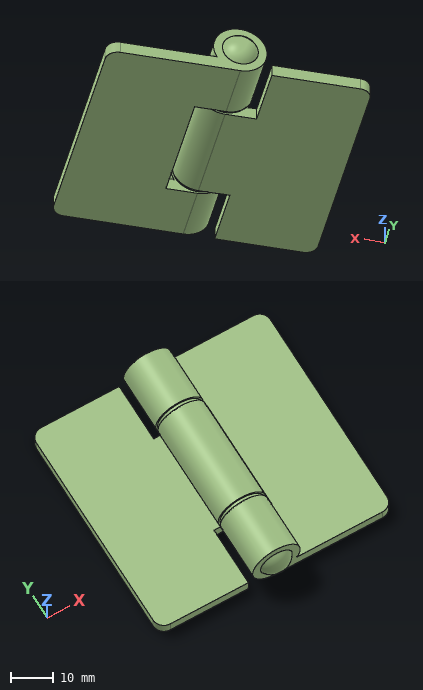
import cadquery as cq
import math

total_length = 65.0
hinge_width = 64.0
leaf_length = 60.0
leaf_thickness = 3.25
corner_radius = 3.0

knuckle_radius = 6.5
washer_radius = 6.0
washer_thickness = 1.0
middle_knuckle_length = 28.0
slot_edge_distance = 7.6

dome_radius = 5.0
dome_height = (total_length - leaf_length) / 2
pin_radius = math.sqrt(dome_radius**2 - (dome_radius - dome_height)**2)

half_width = hinge_width / 2
half_leaf = leaf_length / 2
half_middle = middle_knuckle_length / 2
washer_outer_y = half_middle + washer_thickness
end_knuckle_length = half_leaf - washer_outer_y


def cylinder_along_pin(radius, start_y, length):
    return cq.Workplane("XZ", origin=(0, start_y, 0)).circle(radius).extrude(-length)


def make_plate():
    """Flat plate of the +X leaf, its inner edge under the pin axis."""
    return (
        cq.Workplane("XY", origin=(0, 0, -knuckle_radius))
        .rect(half_width, leaf_length)
        .extrude(leaf_thickness)
        .translate((half_width / 2, 0, 0))
        .edges("|Z and >X")
        .fillet(corner_radius)
    )


def cut_slot(leaf, start_y, length):
    """Clear the plate beside a knuckle of the other leaf."""
    slot = (
        cq.Workplane("XY", origin=(0, start_y, -knuckle_radius))
        .rect(slot_edge_distance, length, centered=False)
        .extrude(leaf_thickness)
    )
    return leaf.cut(slot)


def bore_for_pin(body):
    return body.cut(cylinder_along_pin(pin_radius, -half_leaf, leaf_length))


def make_end_knuckle_leaf():
    """+X leaf, with one knuckle at each end."""
    leaf = cut_slot(make_plate(), -washer_outer_y, 2 * washer_outer_y)
    for start_y in (-half_leaf, washer_outer_y):
        leaf = leaf.union(cylinder_along_pin(knuckle_radius, start_y, end_knuckle_length))
    return bore_for_pin(leaf)


def make_middle_knuckle_leaf():
    """-X leaf, with one knuckle in the middle."""
    slot_length = half_leaf - half_middle
    leaf = make_plate()
    for start_y in (-half_leaf, half_middle):
        leaf = cut_slot(leaf, start_y, slot_length)
    leaf = leaf.mirror("YZ")
    leaf = leaf.union(cylinder_along_pin(knuckle_radius, -half_middle, middle_knuckle_length))
    return bore_for_pin(leaf)


def make_washer(start_y):
    return bore_for_pin(cylinder_along_pin(washer_radius, start_y, washer_thickness))


def make_pin():
    """Half profile with domed ends, revolved about the Y axis."""
    tip_y = total_length / 2
    dome_center_y = tip_y - dome_radius
    half_angle = math.asin(pin_radius / dome_radius) / 2
    mid_x = dome_radius * math.sin(half_angle)
    mid_y = dome_center_y + dome_radius * math.cos(half_angle)
    return (
        cq.Workplane("XY")
        .moveTo(0, -tip_y)
        .threePointArc((mid_x, -mid_y), (pin_radius, -half_leaf))
        .lineTo(pin_radius, half_leaf)
        .threePointArc((mid_x, mid_y), (0, tip_y))
        .close()
        .revolve(360, (0, 0, 0), (0, 1, 0))
    )


end_knuckle_leaf = make_end_knuckle_leaf()
middle_knuckle_leaf = make_middle_knuckle_leaf()
washers = [make_washer(start_y) for start_y in (-washer_outer_y, half_middle)]
pin = make_pin()

result = cq.Compound.makeCompound([
    end_knuckle_leaf.val(),
    middle_knuckle_leaf.val(),
    *[washer.val() for washer in washers],
    pin.val(),
])